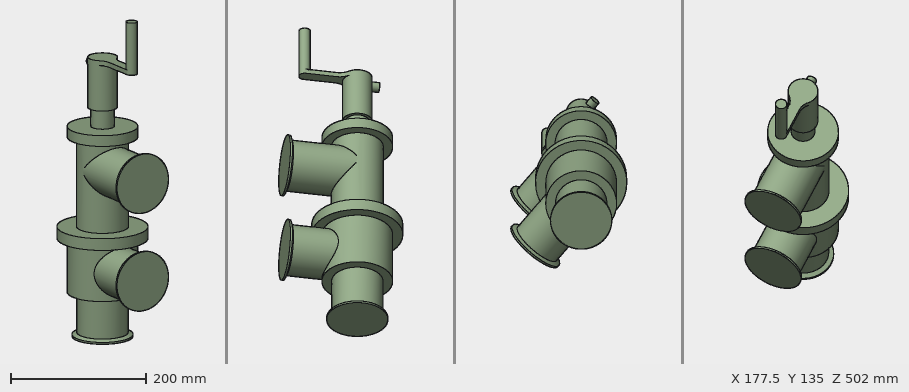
import cadquery as cq
import math

LOWER_CHAMBER_BOTTOM = 68.0
MIDDLE_FLANGE_BOTTOM = 150.5
MIDDLE_FLANGE_TOP = 168.5
TOP_FLANGE_BOTTOM = 306.5
TOP_FLANGE_TOP = 323.0
HUB_BOTTOM = 352.0
HUB_TOP = 429.5
GRIP_TOP = 502.0

PIPE_DIAMETER = 76.5
UPPER_CHAMBER_DIAMETER = 77.5
LOWER_CHAMBER_DIAMETER = 105.0
TOP_FLANGE_DIAMETER = LOWER_CHAMBER_DIAMETER
MIDDLE_FLANGE_DIAMETER = 135.0
OVERALL_LENGTH_X = 177.5
PORT_REACH = OVERALL_LENGTH_X - MIDDLE_FLANGE_DIAMETER / 2
PORT_HEIGHTS = [110.0, 260.0]

FERRULE_DIAMETER = 91.0
FERRULE_RIM = 3.0
FERRULE_LENGTH = 6.0

SHAFT_DIAMETER = 35.0
HUB_DIAMETER = 44.0
ARM_THICKNESS = 7.5
ARM_REACH = 79.5
ARM_BLEND_RADIUS = 23.5
GRIP_DIAMETER = 17.0
PIN_DIAMETER = 15.0
PIN_REACH = 32.5
PIN_HEIGHT = 416.5


def upright_cylinder(diameter, bottom, top):
    """Cylinder on the Z axis between two heights."""
    return cq.Workplane("XY").workplane(offset=bottom).circle(diameter / 2).extrude(top - bottom)


def ferruled_pipe(length):
    """Pipe along +Z whose ferrule face lies on Z = 0."""
    return (
        cq.Workplane("XZ")
        .lineTo(FERRULE_DIAMETER / 2, 0)
        .lineTo(FERRULE_DIAMETER / 2, FERRULE_RIM)
        .lineTo(PIPE_DIAMETER / 2, FERRULE_LENGTH)
        .lineTo(PIPE_DIAMETER / 2, length)
        .lineTo(0, length)
        .close()
        .revolve(360, (0, 0, 0), (0, 1, 0))
    )


def make_housing():
    """Stepped valve column with a bottom pipe and two side ports."""
    housing = ferruled_pipe(LOWER_CHAMBER_BOTTOM)
    sections = [
        (LOWER_CHAMBER_DIAMETER, LOWER_CHAMBER_BOTTOM, MIDDLE_FLANGE_BOTTOM),
        (MIDDLE_FLANGE_DIAMETER, MIDDLE_FLANGE_BOTTOM, MIDDLE_FLANGE_TOP),
        (UPPER_CHAMBER_DIAMETER, MIDDLE_FLANGE_TOP, TOP_FLANGE_BOTTOM),
        (TOP_FLANGE_DIAMETER, TOP_FLANGE_BOTTOM, TOP_FLANGE_TOP),
    ]
    for diameter, bottom, top in sections:
        housing = housing.union(upright_cylinder(diameter, bottom, top))
    port = ferruled_pipe(PORT_REACH).rotate((0, 0, 0), (0, 1, 0), -90)
    for height in PORT_HEIGHTS:
        housing = housing.union(port.translate((PORT_REACH, 0, height)))
    return housing


def make_shaft():
    """Plain shaft between the top flange and the crank hub."""
    return upright_cylinder(SHAFT_DIAMETER, TOP_FLANGE_TOP, HUB_BOTTOM)


def make_crank_arm():
    """Flat arm that blends tangentially from the hub into a round end."""
    half_width = GRIP_DIAMETER / 2
    hub_radius = HUB_DIAMETER / 2
    center_y = half_width + ARM_BLEND_RADIUS
    center_distance = hub_radius + ARM_BLEND_RADIUS
    center_x = math.sqrt(center_distance**2 - center_y**2)
    hub_x = center_x * hub_radius / center_distance
    hub_y = center_y * hub_radius / center_distance
    side_angle = -math.pi / 2
    hub_angle = math.atan2(-center_y, -center_x)
    middle_angle = (side_angle + hub_angle) / 2
    middle_x = center_x + ARM_BLEND_RADIUS * math.cos(middle_angle)
    middle_y = center_y + ARM_BLEND_RADIUS * math.sin(middle_angle)
    return (
        cq.Workplane("XY")
        .workplane(offset=HUB_TOP - ARM_THICKNESS)
        .moveTo(0, -hub_y)
        .lineTo(hub_x, -hub_y)
        .threePointArc((middle_x, -middle_y), (center_x, -half_width))
        .lineTo(ARM_REACH, -half_width)
        .threePointArc((ARM_REACH + half_width, 0), (ARM_REACH, half_width))
        .lineTo(center_x, half_width)
        .threePointArc((middle_x, middle_y), (hub_x, hub_y))
        .lineTo(0, hub_y)
        .close()
        .extrude(ARM_THICKNESS)
    )


def make_crank():
    """Hub, arm, upright grip and the stub pin opposite the arm."""
    hub = upright_cylinder(HUB_DIAMETER, HUB_BOTTOM, HUB_TOP)
    grip = upright_cylinder(GRIP_DIAMETER, HUB_TOP, GRIP_TOP).translate((ARM_REACH, 0, 0))
    pin = (
        cq.Workplane("YZ")
        .center(0, PIN_HEIGHT)
        .circle(PIN_DIAMETER / 2)
        .extrude(-PIN_REACH)
    )
    return hub.union(make_crank_arm()).union(grip).union(pin).clean()


housing = make_housing()
shaft = make_shaft()
crank = make_crank()

result = cq.Compound.makeCompound([housing.val(), shaft.val(), crank.val()])